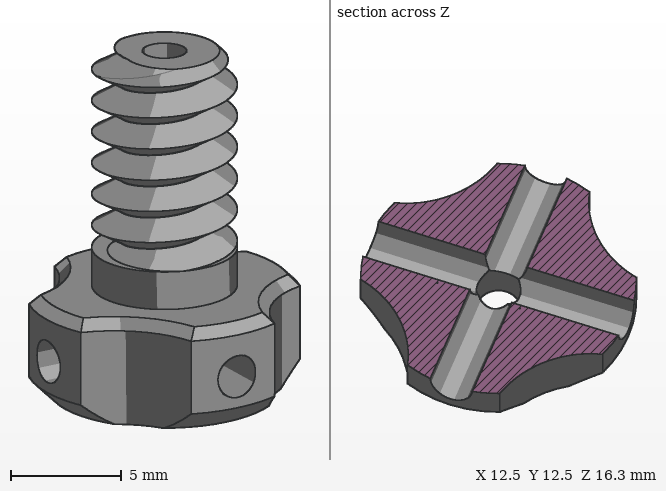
import cadquery as cq
import math

head_diameter = 12.5
head_height = 5.0
lobe_count = 4
scallop_radius = 5.0
scallop_center_distance = 10.0
top_chamfer = 0.5
bottom_chamfer = 1.0

total_height = 16.25
stem_diameter = 6.6
plain_shank_length = 1.8
thread_pitch = 1.5
thread_flank_angle = 30.0
tip_diameter = 5.0
thread_start_angle = -90.0

hole_diameter = 2.0

root_flat_depth = 0.02
ridge_overlap = 0.01
spare_turns = 2
trim_clearance = 0.8

head_radius = head_diameter / 2
crest_radius = stem_diameter / 2
thread_bottom = head_height + plain_shank_length
flank_slope = math.tan(math.radians(thread_flank_angle))
sharp_root_radius = crest_radius - thread_pitch / 2 / flank_slope
core_radius = sharp_root_radius + root_flat_depth


def make_head():
    """Round head with a conical underside edge, scalloped into lobes and chamfered on top."""
    head = cq.Workplane("XY").circle(head_radius).extrude(head_height)
    head = head.faces("<Z").chamfer(bottom_chamfer)
    scallops = (
        cq.Workplane("XY")
        .polarArray(scallop_center_distance, 180 / lobe_count, 360, lobe_count)
        .circle(scallop_radius)
        .extrude(head_height)
    )
    return head.cut(scallops).faces(">Z").chamfer(top_chamfer)


def make_thread_ridge():
    """Right-handed triangular ridge whose root meets the tip plane on the -Y side."""
    turns = math.ceil((total_height - thread_bottom) / thread_pitch) + spare_turns
    start_crest_z = total_height + thread_pitch / 2 - turns * thread_pitch
    base_radius = core_radius - ridge_overlap
    base_half_width = (crest_radius - base_radius) * flank_slope
    helix = cq.Wire.makeHelix(thread_pitch, turns * thread_pitch, crest_radius)
    ridge = (
        cq.Workplane("XZ")
        .moveTo(base_radius, -base_half_width)
        .lineTo(crest_radius, 0)
        .lineTo(base_radius, base_half_width)
        .close()
        .sweep(cq.Workplane(helix), isFrenet=True)
    )
    ridge = ridge.rotate((0, 0, 0), (0, 0, 1), thread_start_angle)
    return ridge.translate((0, 0, start_crest_z))


def make_thread():
    """Threaded length trimmed flat at the shank and by a 45 degree cone at the tip."""
    thread_length = total_height - thread_bottom
    core = cq.Workplane("XY").workplane(offset=thread_bottom).circle(core_radius).extrude(thread_length)
    trim_radius = crest_radius + trim_clearance
    trim = (
        cq.Workplane("XY")
        .workplane(offset=thread_bottom)
        .circle(trim_radius)
        .extrude(thread_length)
        .faces(">Z")
        .chamfer(trim_radius - tip_diameter / 2)
    )
    return make_thread_ridge().intersect(trim).union(core)


def make_shank():
    """Plain cylinder between the head and the thread."""
    return cq.Workplane("XY").workplane(offset=head_height).circle(crest_radius).extrude(plain_shank_length)


def make_holes():
    """Axial through hole and the two cross holes at mid height of the head."""
    axial = cq.Workplane("XY").circle(hole_diameter / 2).extrude(total_height)
    middle = (0, 0, head_height / 2)
    cross_x = cq.Workplane("YZ", origin=middle).circle(hole_diameter / 2).extrude(head_radius, both=True)
    cross_y = cq.Workplane("XZ", origin=middle).circle(hole_diameter / 2).extrude(head_radius, both=True)
    return axial.union(cross_x).union(cross_y)


result = make_head().union(make_shank()).union(make_thread()).cut(make_holes())